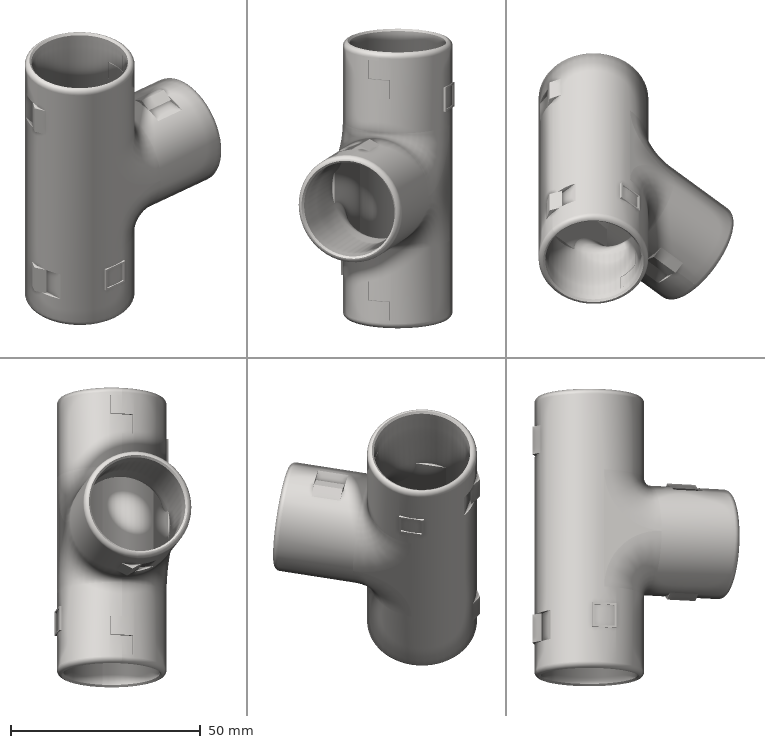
import cadquery as cq


LENGTH = 74.9
REACH = LENGTH / 2
OUTER_RADIUS = 14.5
BORE_RADIUS = 12.75
END_FILLET = 1.5
MOUTH_RADIUS = 13.3
LEAD_IN = MOUTH_RADIUS - BORE_RADIUS
CREST_OFFSET = MOUTH_RADIUS - (OUTER_RADIUS - END_FILLET)
UNTRIMMED_REACH = REACH + END_FILLET - (END_FILLET**2 - CREST_OFFSET**2) ** 0.5
BEND_RADIUS = 15.7
FLAT_HALF_WIDTH = 12.1

HOOK_DISTANCE = 25.25
HOOK_PEAK = 15.6
HOOK_REACH = 2.9
HOOK_TIP = 13.85
HOOK_ROOT = (OUTER_RADIUS**2 - HOOK_REACH**2) ** 0.5
RECESS_REACH = 7.05
RECESS_EDGE = (OUTER_RADIUS**2 - RECESS_REACH**2) ** 0.5
RECESS_SEAM_HEIGHT = 13.5
RECESS_CLEARANCE = 0.19
MAIN_HOOK_LENGTH = 7.4
BRANCH_HOOK_LENGTH = 7.7

TONGUE_REACH = 2.85
TONGUE_HEIGHT = 5.0
TONGUE_DISTANCE = 30.0
TONGUE_CLEARANCE = 0.19

FRAME_SIZE = 6.6
FRAME_LINE = 0.5
FRAME_DISTANCE = 23.4
FRAME_FACE = 14.7

BRANCH_PLANE = cq.Plane(origin=(0, 0, 0), xDir=(1, 0, 0), normal=(0, 1, 0))


def box(x_range, y_range, z_range):
    """A box between the given limits."""
    (x0, x1), (y0, y1), (z0, z1) = x_range, y_range, z_range
    return cq.Workplane().box(x1 - x0, y1 - y0, z1 - z0, centered=False).translate((x0, y0, z0))


def bend(radius):
    """The upper inside corner of the tee: a quarter bend with a flat-sided web filling its outside."""
    half_profile = (
        cq.Workplane("XY")
        .moveTo(-radius, 0)
        .threePointArc((0, radius), (radius, 0))
        .lineTo(radius, -BEND_RADIUS)
        .lineTo(-radius, -BEND_RADIUS)
        .close()
    )
    turned = half_profile.revolve(360, (0, BEND_RADIUS, 0), (1, BEND_RADIUS, 0))
    turned = turned.translate((0, 0, BEND_RADIUS))
    span = (0, BEND_RADIUS)
    return turned.intersect(box((-radius, radius), span, span))


def tee(radius):
    """The solid tee of the given tube radius."""
    end_length = UNTRIMMED_REACH - BEND_RADIUS
    upper = cq.Workplane("XY", origin=(0, 0, BEND_RADIUS)).circle(radius).extrude(end_length)
    branch = cq.Workplane(BRANCH_PLANE).workplane(offset=BEND_RADIUS).circle(radius).extrude(end_length)
    front = cq.Workplane("XY").circle(radius).extrude(BEND_RADIUS, both=True)
    limits = (-BEND_RADIUS, BEND_RADIUS)
    front = front.intersect(box(limits, (-BEND_RADIUS, 0), limits))
    corner = bend(radius)
    solid = front.union(corner).union(corner.mirror("XY"))
    return solid.union(upper).union(upper.mirror("XY")).union(branch)


def mouth(direction):
    """A cone that widens the bore outwards at the tube end in the given direction."""
    axis = cq.Vector(*direction)
    start = axis * (REACH - LEAD_IN)
    wide_radius = BORE_RADIUS + 2 * LEAD_IN
    return cq.Workplane(cq.Solid.makeCone(BORE_RADIUS, wide_radius, 2 * LEAD_IN, start, axis))


def tee_shell():
    """The hollow tee with rounded ends and flat inner side walls at the junction."""
    outside = tee(OUTER_RADIUS).faces("|Z or >Y").edges("%CIRCLE").fillet(END_FILLET)
    cavity = tee(BORE_RADIUS)
    limits = (-BEND_RADIUS, BEND_RADIUS)
    for side in (-1, 1):
        wall = sorted((side * FLAT_HALF_WIDTH, side * OUTER_RADIUS))
        cavity = cavity.cut(box(wall, limits, limits))
    for direction in ((0, 0, 1), (0, 0, -1), (0, 1, 0)):
        cavity = cavity.union(mouth(direction))
    return outside.cut(cavity)


def hook(length):
    """A ridge astride the seam at the top of a tube along Y, reaching over to +X with an undercut tip."""
    ridge_slope = (HOOK_PEAK - HOOK_ROOT) / HOOK_REACH
    floor_slope = (RECESS_SEAM_HEIGHT - RECESS_EDGE) / RECESS_REACH
    undercut_depth = RECESS_SEAM_HEIGHT - HOOK_TIP + ridge_slope * HOOK_REACH
    undercut_end = undercut_depth / (floor_slope + ridge_slope)
    outline = [
        (-HOOK_REACH, HOOK_ROOT),
        (0, HOOK_PEAK),
        (HOOK_REACH, HOOK_TIP),
        (undercut_end, RECESS_SEAM_HEIGHT - floor_slope * undercut_end),
        (0, RECESS_SEAM_HEIGHT),
    ]
    return cq.Workplane("XZ").polyline(outline).close().extrude(length / 2, both=True)


def recess(hook_length):
    """The cut for the hook of the other half: a sloping floor that runs out of the tube at -X."""
    outline = [
        (-RECESS_REACH, RECESS_EDGE),
        (-RECESS_REACH, HOOK_PEAK),
        (0, HOOK_PEAK),
        (0, RECESS_SEAM_HEIGHT),
    ]
    half_length = hook_length / 2 + RECESS_CLEARANCE
    return cq.Workplane("XZ").polyline(outline).close().extrude(half_length, both=True)


def on_branch(body, side):
    """Moves a body made at the top of the Y axis to the top (1) or the bottom (-1) of the branch."""
    if side < 0:
        body = body.mirror("XY")
    return body.translate((0, HOOK_DISTANCE, 0))


def on_main_front(body, side):
    """Moves a body made at the top of the Y axis to the upper (1) or lower (-1) main tube front."""
    return body.rotate((0, 0, 0), (1, 0, 0), 90).translate((0, 0, side * HOOK_DISTANCE))


def back_wall(x_range, z_range):
    """A piece of the back wall of the main tube."""
    ring = cq.Workplane("XY").circle(OUTER_RADIUS).circle(BORE_RADIUS).extrude(REACH, both=True)
    return ring.intersect(box(x_range, (0, OUTER_RADIUS), z_range))


def frame():
    """The raised square frame on the -X side."""
    outer = cq.Workplane("YZ", origin=(-FRAME_FACE, 0, FRAME_DISTANCE)).rect(FRAME_SIZE, FRAME_SIZE)
    inside = FRAME_SIZE - 2 * FRAME_LINE
    depth = FRAME_FACE - (OUTER_RADIUS + BORE_RADIUS) / 2
    return outer.rect(inside, inside).extrude(depth)


def half_shell():
    """The half at -X."""
    span = (-UNTRIMMED_REACH, UNTRIMMED_REACH)
    half = tee_shell().intersect(box((-UNTRIMMED_REACH, 0), span, span))
    half = half.cut(on_main_front(recess(MAIN_HOOK_LENGTH), 1))
    half = half.cut(on_branch(recess(BRANCH_HOOK_LENGTH), -1))
    half = half.union(on_main_front(hook(MAIN_HOOK_LENGTH), -1))
    half = half.union(on_branch(hook(BRANCH_HOOK_LENGTH), 1))

    seam_low = TONGUE_DISTANCE
    seam_high = TONGUE_DISTANCE + TONGUE_CLEARANCE
    far = seam_high + TONGUE_HEIGHT
    near = seam_low - TONGUE_HEIGHT
    tongue_side = (0, TONGUE_REACH)
    half = half.union(back_wall(tongue_side, (seam_high, far)))
    half = half.union(back_wall(tongue_side, (-seam_low, -near)))
    notch_side = (-TONGUE_REACH - TONGUE_CLEARANCE, 0)
    half = half.cut(back_wall(notch_side, (near, seam_high)))
    half = half.cut(back_wall(notch_side, (-far, -seam_low)))
    return half.union(frame())


left_half = half_shell()
right_half = left_half.rotate((0, 0, 0), (0, 1, 0), 180)

result = cq.Compound.makeCompound([left_half.solids().val(), right_half.solids().val()])